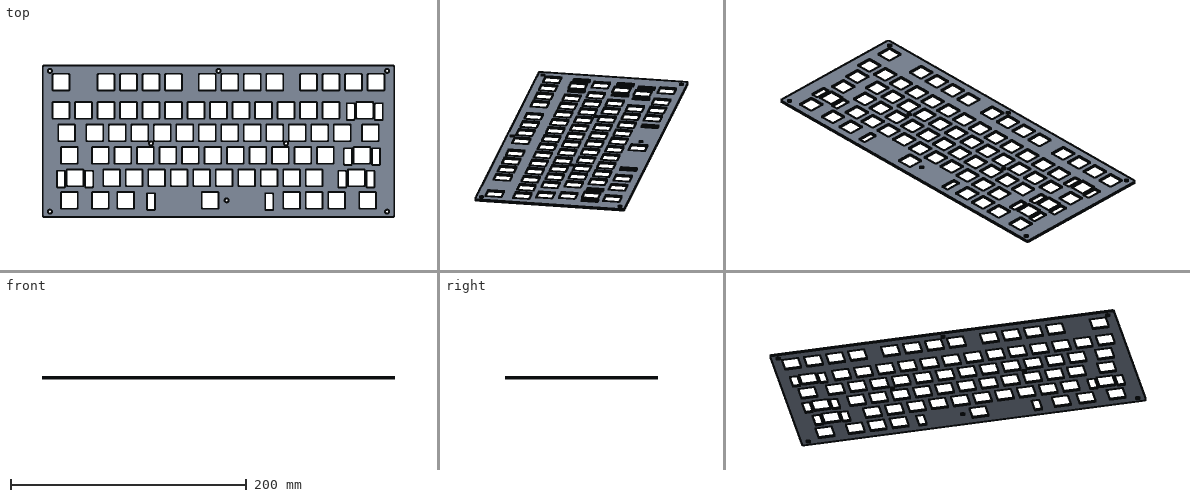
import cadquery as cq

plate_length = 298.4
plate_width = 128.5
plate_thickness = 1.52
plate_corner_radius = 1.58

outer_key_span = 267.0
outer_key_steps = 14
key_pitch = outer_key_span / outer_key_steps
function_row_gap = 1.25
row_steps = 4
bottom_row = row_steps + 1
grid_height = function_row_gap + row_steps

switch_side = 14.0
window_corner_radius = 0.5

stabilizer_width = 6.5
stabilizer_height = 14.0
stabilizer_drop = 1.05
short_stabilizer_reach = 12.0
space_stabilizer_reach = 50.0

screw_hole_diameter = 3.3
screw_hole_x = 143.0
screw_hole_y = 59.7
bottom_screw_x = 7.0
middle_screw_x = 3 * key_pitch
middle_screw_y = -1.8


def key_run(first, count):
    """Neighbouring single-width keys, one pitch apart."""
    return [first + step for step in range(count)]


backspace = 13.5
enter = 13.375
left_shift = 0.625
right_shift = 13.125
space_bar = 6.625

key_rows = [
    [0] + key_run(2, 4) + key_run(6.5, 4) + key_run(11, 4),
    key_run(0, 13) + [backspace],
    [0.25] + key_run(1.5, 12) + [13.75],
    [0.375] + key_run(1.75, 11) + [enter],
    [left_shift] + key_run(2.25, 10) + [right_shift],
    [0.375, 1.75, 2.875, space_bar] + key_run(10.25, 3) + [13.625],
]

stabilized_keys = [
    (1, backspace, short_stabilizer_reach),
    (3, enter, short_stabilizer_reach),
    (4, left_shift, short_stabilizer_reach),
    (4, right_shift, short_stabilizer_reach),
    (bottom_row, space_bar, space_stabilizer_reach),
]


def key_x(column):
    return (column - outer_key_steps / 2) * key_pitch


def row_y(row):
    steps_down = 0 if row == 0 else function_row_gap + row - 1
    return (grid_height / 2 - steps_down) * key_pitch


def window_cutter(centres, width, height):
    """Upright bars with rounded corners that cut through the plate."""
    return (
        cq.Workplane("XY")
        .pushPoints(centres)
        .rect(width, height)
        .extrude(plate_thickness)
        .edges("|Z")
        .fillet(window_corner_radius)
    )


def switch_centres():
    return [
        (key_x(column), row_y(row))
        for row, columns in enumerate(key_rows)
        for column in columns
    ]


def stabilizer_centres():
    return [
        (key_x(column) + side * reach, row_y(row) - stabilizer_drop)
        for row, column, reach in stabilized_keys
        for side in (-1, 1)
    ]


def screw_centres():
    corners = [(x, y) for x in (-screw_hole_x, screw_hole_x) for y in (-screw_hole_y, screw_hole_y)]
    middles = [(-middle_screw_x, middle_screw_y), (middle_screw_x, middle_screw_y)]
    return corners + middles + [(0, screw_hole_y), (bottom_screw_x, row_y(bottom_row))]


plate = (
    cq.Workplane("XY")
    .rect(plate_length, plate_width)
    .extrude(plate_thickness)
    .edges("|Z")
    .fillet(plate_corner_radius)
)
plate = plate.cut(window_cutter(switch_centres(), switch_side, switch_side))
plate = plate.cut(window_cutter(stabilizer_centres(), stabilizer_width, stabilizer_height))
result = (
    plate.faces(">Z")
    .workplane(origin=(0, 0, 0))
    .pushPoints(screw_centres())
    .hole(screw_hole_diameter)
)